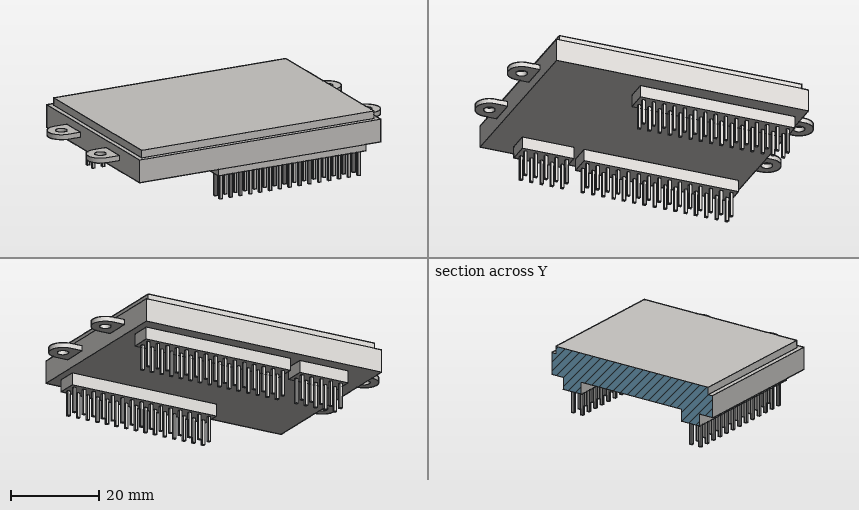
import cadquery as cq

housing_width = 44.9
housing_length = 62.1
housing_height = 5.5

glass_width = 42.55
glass_length = 59.8
glass_thickness = 1.8

screen_width = 36.6
screen_length = 48.8
screen_offset_y = 2.6
screen_depth = 0.75

overall_length = 74.9
tab_width = 6.5
tab_thickness = 1.2
tab_bottom = 2.5
tab_spacing = 18.9
tab_hole_diameter = 2.6

overall_height = 16.2
header_height = 2.9
long_header_length = 38.05
long_header_pins = 15
short_header_pins = 5
header_rows = 2
header_start_y = 29.2
left_header_x = -16.7
right_header_x = 16.25
pin_width = 0.64

top_z = housing_height + glass_thickness
pin_length = overall_height - top_z - header_height
pin_pitch = long_header_length / long_header_pins
header_width = header_rows * pin_pitch
header_gap = pin_pitch


def block(width, length, height, x=0, y=0, bottom=0):
    """Box centred on (x, y) with its lower face at the given height."""
    return (
        cq.Workplane("XY", origin=(x, y, bottom))
        .box(width, length, height, centered=(True, True, False))
    )


def make_tab(x, end):
    """Round-ended mounting tab; end is +1 or -1 for the +Y or -Y side."""
    hole_y = end * (overall_length - tab_width) / 2
    root_y = end * housing_length / 2
    plane = cq.Workplane("XY", origin=(0, 0, tab_bottom))
    arm = block(tab_width, abs(hole_y - root_y), tab_thickness, x, (hole_y + root_y) / 2, tab_bottom)
    tip = plane.center(x, hole_y).circle(tab_width / 2).extrude(tab_thickness)
    hole = plane.center(x, hole_y).circle(tab_hole_diameter / 2).extrude(tab_thickness)
    return arm.union(tip).cut(hole)


def make_header(x, start_y, pins):
    """Two-row pin header running from start_y toward -Y."""
    length = pins * pin_pitch
    center_y = start_y - length / 2
    body = block(header_width, length, header_height, x, center_y, -header_height)
    pin_field = (
        cq.Workplane("XY", origin=(x, center_y, -header_height))
        .rarray(pin_pitch, pin_pitch, header_rows, pins)
        .rect(pin_width, pin_width)
        .extrude(-pin_length)
    )
    return body.union(pin_field)


result = block(housing_width, housing_length, housing_height)
result = result.union(block(glass_width, glass_length, glass_thickness, bottom=housing_height))

for tab_x in (-tab_spacing / 2, tab_spacing / 2):
    for tab_end in (-1, 1):
        result = result.union(make_tab(tab_x, tab_end))

short_header_start_y = header_start_y - long_header_length - header_gap
result = result.union(make_header(left_header_x, header_start_y, long_header_pins))
result = result.union(make_header(left_header_x, short_header_start_y, short_header_pins))
result = result.union(make_header(right_header_x, header_start_y, long_header_pins))

screen = block(screen_width, screen_length, screen_depth, y=screen_offset_y, bottom=top_z - screen_depth)
result = result.cut(screen).union(screen, clean=False)